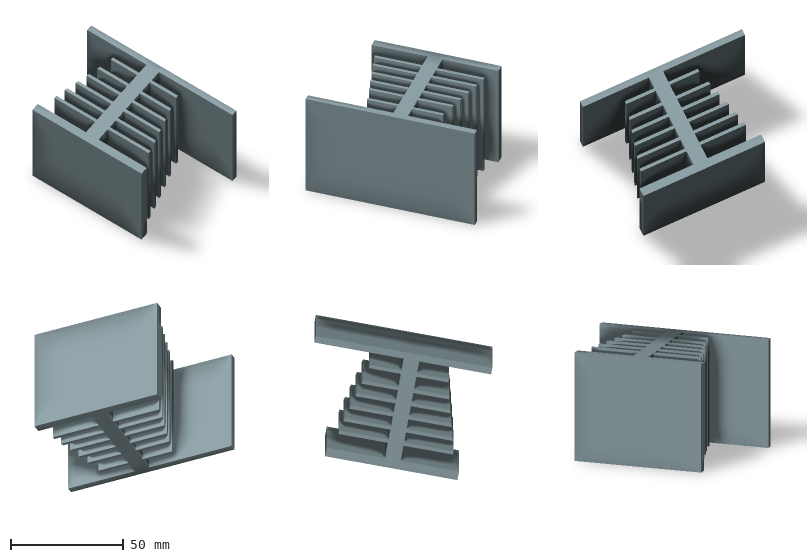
import cadquery as cq

height = 50.0
depth = 53.0

back_width = 80.0
back_thickness = 3.0
back_offset = 3.9
front_width = 60.0
front_thickness = 4.0
web_thickness = 7.0

fin_thickness = 1.5
fin_pitch = 6.1
front_fin_y = 11.0
front_fin_half_width = 25.9
back_fin_y = 42.9
back_fin_half_width = 18.0
slanted_fin_count = 4
slanted_fin_half_width = 24.8
tip_step = 1.6
tip_slope = tip_step / fin_pitch


def block(width, y_start, thickness, x_center=0.0):
    """Full-height rectangular block starting at y_start."""
    return (
        cq.Workplane("XY")
        .center(x_center, y_start + thickness / 2)
        .rect(width, thickness)
        .extrude(height)
    )


def slanted_fin(half_width, y_start):
    """Fin across the web whose tips narrow toward the back."""
    back_half_width = half_width - tip_slope * fin_thickness
    y_end = y_start + fin_thickness
    outline = [
        (-half_width, y_start),
        (half_width, y_start),
        (back_half_width, y_end),
        (-back_half_width, y_end),
    ]
    return cq.Workplane("XY").polyline(outline).close().extrude(height)


result = block(web_thickness, 0, depth)
result = result.union(block(front_width, 0, front_thickness))
result = result.union(block(back_width, depth - back_thickness, back_thickness, back_offset))

result = result.union(block(2 * front_fin_half_width, front_fin_y, fin_thickness))
result = result.union(block(2 * back_fin_half_width, back_fin_y, fin_thickness))

for index in range(slanted_fin_count):
    fin_half_width = slanted_fin_half_width - index * tip_step
    fin_y = front_fin_y + (index + 1) * fin_pitch
    result = result.union(slanted_fin(fin_half_width, fin_y))